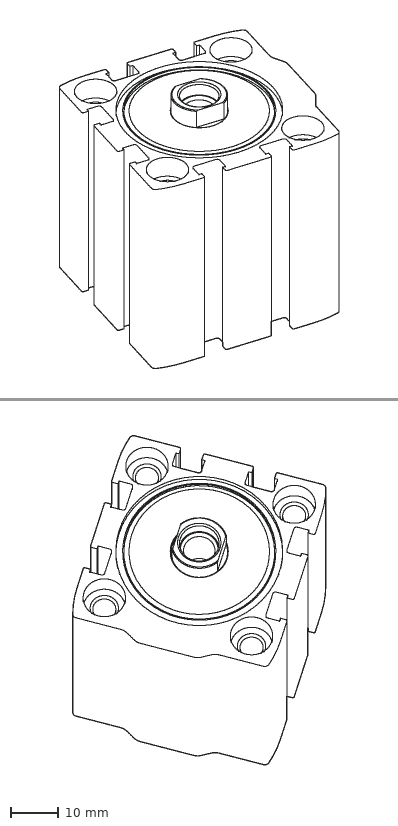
import cadquery as cq
import math

HOUSING_WIDTH = 45.0
HALF_WIDTH = HOUSING_WIDTH / 2
HOUSING_HEIGHT = 46.5
TOTAL_HEIGHT = 50.5

SIDE_FLAT_HALF = 15.65
SIDE_BOW_RADIUS = 22.7
CORNER_FILLET = 1.0

PAD_RISE = 2.0
PAD_TOP_HALF = 6.7
PAD_FOOT_HALF = 10.05
PAD_FILLET = 3.05

SLOT_OFFSET = 8.05
SLOT_MOUTH = 5.0
SLOT_UNDERCUT = 6.4
SLOT_DEPTH = 4.7
SLOT_LIP = 1.5
SLOT_FLOOR_FILLET = 0.6
SLOT_MOUTH_FILLET = 0.35

HOLE_OFFSET = 16.25
HOLE_DIAMETER = 4.9
HOLE_CHAMFER_DIAMETER = 6.0
COUNTERBORE_DIAMETER = 9.0
COUNTERBORE_DEPTH = 4.9

COVER_RECESS_RADIUS = 35.4 / 2
COVER_RECESS_DEPTH = 0.3
COVER_RIM_RADIUS = 16.4
COVER_RIM_CHAMFER = 0.15
INNER_GROOVE_RADIUS = 32.0 / 2
COVER_FACE_RADIUS = 15.3
COVER_FACE_BEVEL_WIDTH = 0.4
COVER_FACE_BEVEL_DROP = 0.15
GROOVE_SLOPE_ANGLE = 35.0
ROD_SEAT_CHAMFER = 0.15

ROD_RADIUS = 12.0 / 2
ROD_LENGTH = 25.25
ROD_CHAMFER = 0.2
ROD_FLAT_HALF = 5.0
ROD_FLAT_LENGTH = 4.35
ROD_RUN_OUT_ANGLE = 35.0
ROD_CHAMFERED_MOUTH_RADIUS = 4.6
ROD_COUNTERBORE_RADIUS = 8.4 / 2
ROD_COUNTERBORE_DEPTH = 3.15
ROD_LEDGE_RADIUS = 4.0
ROD_BORE_RADIUS = 6.65 / 2
ROD_BORE_DEPTH = 14.15
DRILL_TIP_ANGLE = 118.0

COVER_FACE_Z = HOUSING_HEIGHT - COVER_RECESS_DEPTH


def housing_block():
    """Extruded outline: bowed corners, flat sides and the pad on +Y."""
    bow_rise = HALF_WIDTH - SIDE_FLAT_HALF
    bow_inset = SIDE_BOW_RADIUS - math.sqrt(SIDE_BOW_RADIUS**2 - bow_rise**2)
    corner_x = HALF_WIDTH - bow_inset
    block = (
        cq.Workplane("XY")
        .moveTo(-corner_x, -HALF_WIDTH)
        .lineTo(corner_x, -HALF_WIDTH)
        .radiusArc((HALF_WIDTH, -SIDE_FLAT_HALF), -SIDE_BOW_RADIUS)
        .lineTo(HALF_WIDTH, SIDE_FLAT_HALF)
        .radiusArc((corner_x, HALF_WIDTH), -SIDE_BOW_RADIUS)
        .lineTo(-corner_x, HALF_WIDTH)
        .radiusArc((-HALF_WIDTH, SIDE_FLAT_HALF), -SIDE_BOW_RADIUS)
        .lineTo(-HALF_WIDTH, -SIDE_FLAT_HALF)
        .radiusArc((-corner_x, -HALF_WIDTH), -SIDE_BOW_RADIUS)
        .close()
        .extrude(HOUSING_HEIGHT)
    )
    for x in (-corner_x, corner_x):
        for y in (-HALF_WIDTH, HALF_WIDTH):
            corner = cq.selectors.NearestToPointSelector((x, y, HOUSING_HEIGHT / 2))
            block = block.edges("|Z").edges(corner).fillet(CORNER_FILLET)
    pad_top = HALF_WIDTH + PAD_RISE
    pad = (
        cq.Workplane("XY")
        .polyline([
            (-PAD_FOOT_HALF, 0),
            (PAD_FOOT_HALF, 0),
            (PAD_FOOT_HALF, HALF_WIDTH),
            (PAD_TOP_HALF, pad_top),
            (-PAD_TOP_HALF, pad_top),
            (-PAD_FOOT_HALF, HALF_WIDTH),
        ])
        .close()
        .extrude(HOUSING_HEIGHT)
    )
    block = block.union(pad)
    for x, y in ((PAD_TOP_HALF, pad_top), (PAD_FOOT_HALF, HALF_WIDTH)):
        for side in (-1, 1):
            bend = cq.selectors.NearestToPointSelector((side * x, y, HOUSING_HEIGHT / 2))
            block = block.edges("|Z").edges(bend).fillet(PAD_FILLET)
    return block


def slot_cutter():
    """Undercut slot for the -Y face, centred on X = 0."""
    floor_y = -HALF_WIDTH + SLOT_DEPTH
    lip_y = -HALF_WIDTH + SLOT_LIP
    undercut = (
        cq.Workplane("XY")
        .rect(SLOT_UNDERCUT, SLOT_DEPTH - SLOT_LIP)
        .extrude(HOUSING_HEIGHT)
        .translate((0, (floor_y + lip_y) / 2, 0))
        .edges("|Z and >Y")
        .fillet(SLOT_FLOOR_FILLET)
    )
    half_mouth = SLOT_MOUTH / 2
    flare_half = half_mouth + SLOT_MOUTH_FILLET
    flare_y = -HALF_WIDTH + SLOT_MOUTH_FILLET
    mouth = (
        cq.Workplane("XY")
        .moveTo(-flare_half, -HALF_WIDTH)
        .radiusArc((-half_mouth, flare_y), -SLOT_MOUTH_FILLET)
        .lineTo(-half_mouth, lip_y)
        .lineTo(half_mouth, lip_y)
        .lineTo(half_mouth, flare_y)
        .radiusArc((flare_half, -HALF_WIDTH), -SLOT_MOUTH_FILLET)
        .close()
        .extrude(HOUSING_HEIGHT)
    )
    return undercut.union(mouth)


def cut_slots(body):
    """Two slots on each of the -X, -Y and +X faces."""
    for face_angle in (-90, 0, 90):
        for offset in (-SLOT_OFFSET, SLOT_OFFSET):
            slot = slot_cutter().translate((offset, 0, 0))
            body = body.cut(slot.rotate((0, 0, 0), (0, 0, 1), face_angle))
    return body


def cut_mounting_holes(body):
    """Counterbored, countersunk through holes near the four corners."""
    hole_radius = HOLE_DIAMETER / 2
    chamfer_radius = HOLE_CHAMFER_DIAMETER / 2
    seat_z = HOUSING_HEIGHT - COUNTERBORE_DEPTH
    cutter = (
        cq.Workplane("XZ")
        .polyline([
            (0, 0),
            (hole_radius, 0),
            (hole_radius, seat_z - (chamfer_radius - hole_radius)),
            (chamfer_radius, seat_z),
            (COUNTERBORE_DIAMETER / 2, seat_z),
            (COUNTERBORE_DIAMETER / 2, HOUSING_HEIGHT),
            (0, HOUSING_HEIGHT),
        ])
        .close()
        .revolve(360, (0, 0, 0), (0, 1, 0))
    )
    for x in (-HOLE_OFFSET, HOLE_OFFSET):
        for y in (-HOLE_OFFSET, HOLE_OFFSET):
            body = body.cut(cutter.translate((x, y, 0)))
    return body


def cut_cover_grooves(body):
    """Recess over the end cover, with two V grooves whose inner flanks fall outward."""
    groove_slope = math.tan(math.radians(GROOVE_SLOPE_ANGLE))
    rim_edge_z = COVER_FACE_Z - COVER_RIM_CHAMFER
    bevel_z = COVER_FACE_Z - COVER_FACE_BEVEL_DROP
    inner_groove_depth = (INNER_GROOVE_RADIUS - COVER_FACE_RADIUS) * groove_slope
    outer_groove_depth = (COVER_RECESS_RADIUS - COVER_RIM_RADIUS) * groove_slope
    cutter = (
        cq.Workplane("XZ")
        .polyline([
            (0, HOUSING_HEIGHT),
            (0, COVER_FACE_Z),
            (COVER_FACE_RADIUS - COVER_FACE_BEVEL_WIDTH, COVER_FACE_Z),
            (COVER_FACE_RADIUS, bevel_z),
            (INNER_GROOVE_RADIUS, bevel_z - inner_groove_depth),
            (INNER_GROOVE_RADIUS, COVER_FACE_Z),
            (COVER_RIM_RADIUS - COVER_RIM_CHAMFER, COVER_FACE_Z),
            (COVER_RIM_RADIUS, rim_edge_z),
            (COVER_RECESS_RADIUS, rim_edge_z - outer_groove_depth),
            (COVER_RECESS_RADIUS, HOUSING_HEIGHT),
        ])
        .close()
        .revolve(360, (0, 0, 0), (0, 1, 0))
    )
    return body.cut(cutter)


def make_housing():
    body = cut_cover_grooves(cut_mounting_holes(cut_slots(housing_block())))
    seat_floor_z = TOTAL_HEIGHT - ROD_LENGTH
    rod_seat = (
        cq.Workplane("XZ")
        .polyline([
            (0, seat_floor_z),
            (ROD_RADIUS, seat_floor_z),
            (ROD_RADIUS, COVER_FACE_Z - ROD_SEAT_CHAMFER),
            (ROD_RADIUS + ROD_SEAT_CHAMFER, COVER_FACE_Z),
            (0, COVER_FACE_Z),
        ])
        .close()
        .revolve(360, (0, 0, 0), (0, 1, 0))
    )
    return body.cut(rod_seat)


def rod_bore_cutter():
    """Chamfered counterbore, narrow ledge, conical step, drilled bore and drill tip."""
    mouth_chamfer = ROD_CHAMFERED_MOUTH_RADIUS - ROD_COUNTERBORE_RADIUS
    step = ROD_LEDGE_RADIUS - ROD_BORE_RADIUS
    step_z = TOTAL_HEIGHT - ROD_COUNTERBORE_DEPTH
    bore_floor_z = TOTAL_HEIGHT - ROD_BORE_DEPTH
    tip_depth = ROD_BORE_RADIUS / math.tan(math.radians(DRILL_TIP_ANGLE / 2))
    return (
        cq.Workplane("XZ")
        .polyline([
            (0, TOTAL_HEIGHT),
            (ROD_CHAMFERED_MOUTH_RADIUS, TOTAL_HEIGHT),
            (ROD_COUNTERBORE_RADIUS, TOTAL_HEIGHT - mouth_chamfer),
            (ROD_COUNTERBORE_RADIUS, step_z),
            (ROD_LEDGE_RADIUS, step_z),
            (ROD_BORE_RADIUS, step_z - step),
            (ROD_BORE_RADIUS, bore_floor_z),
            (0, bore_floor_z - tip_depth),
        ])
        .close()
        .revolve(360, (0, 0, 0), (0, 1, 0))
    )


def cut_wrench_flats(rod):
    """Flats on the -X and +X sides; each ends in a sloped run-out."""
    flat_end_z = TOTAL_HEIGHT - ROD_FLAT_LENGTH
    run_out_depth = (ROD_RADIUS - ROD_FLAT_HALF) * math.tan(math.radians(ROD_RUN_OUT_ANGLE))
    flat = (
        cq.Workplane("XZ")
        .polyline([
            (ROD_FLAT_HALF, TOTAL_HEIGHT),
            (ROD_FLAT_HALF, flat_end_z),
            (ROD_RADIUS, flat_end_z - run_out_depth),
            (ROD_RADIUS, TOTAL_HEIGHT),
        ])
        .close()
        .extrude(ROD_RADIUS, both=True)
    )
    return rod.cut(flat).cut(flat.mirror("YZ"))


def make_piston_rod():
    rod = (
        cq.Workplane("XY")
        .workplane(offset=TOTAL_HEIGHT - ROD_LENGTH)
        .circle(ROD_RADIUS)
        .extrude(ROD_LENGTH)
        .faces(">Z")
        .chamfer(ROD_CHAMFER)
    )
    return cut_wrench_flats(rod.cut(rod_bore_cutter()))


housing = make_housing()
piston_rod = make_piston_rod()

result = cq.Compound.makeCompound([housing.val(), piston_rod.val()])